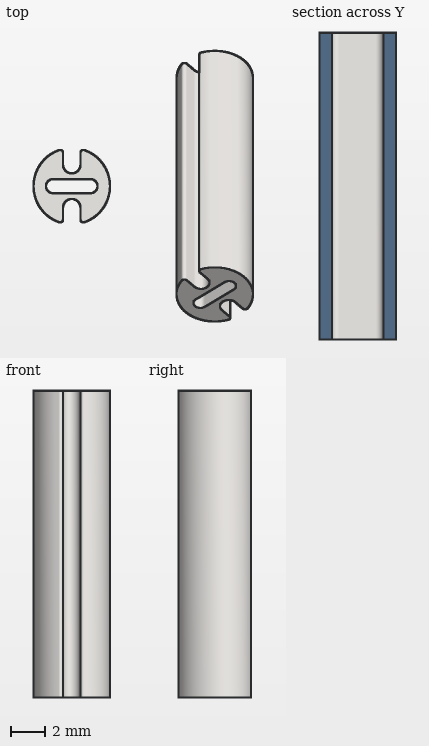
import cadquery as cq

length = 18
diameter = 4.5

groove_width = 1.0
groove_floor = 0.75
lip_radius = 0.18

slot_length = 3.0
slot_width = 0.81


def groove_cutter(side):
    """Groove open towards +Y (side = 1) or -Y (side = -1)."""
    radius = groove_width / 2
    arc_center = groove_floor + radius
    outside = diameter
    return (
        cq.Workplane("XY")
        .moveTo(-radius, side * outside)
        .lineTo(-radius, side * arc_center)
        .threePointArc((0, side * groove_floor), (radius, side * arc_center))
        .lineTo(radius, side * outside)
        .close()
        .extrude(length)
    )


bar = cq.Workplane("XY").circle(diameter / 2).extrude(length)
for side in (1, -1):
    bar = bar.cut(groove_cutter(side))

lip_height = diameter / 2 - lip_radius
lip_half_width = groove_width / 2 + lip_radius
for side in (1, -1):
    lip_zone = cq.selectors.BoxSelector(
        (-lip_half_width, side * lip_height, 0),
        (lip_half_width, side * diameter, length),
    )
    bar = bar.edges("|Z").edges(lip_zone).fillet(lip_radius)

slot = cq.Workplane("XY").slot2D(slot_length, slot_width).extrude(length)
result = bar.cut(slot)